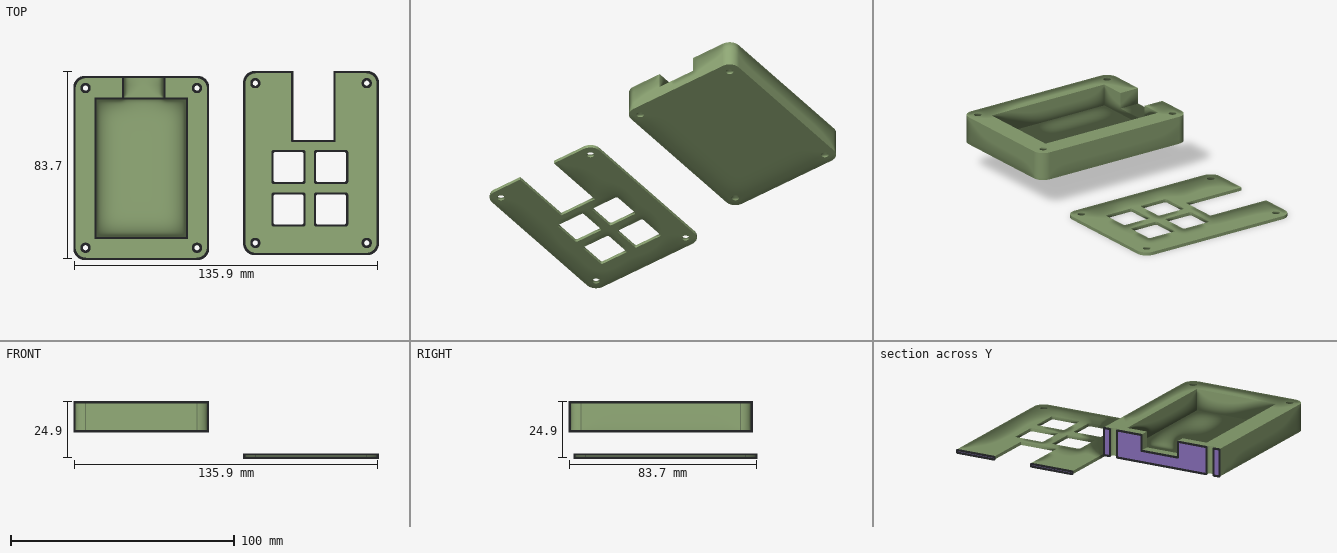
import cadquery as cq

overall_width = 135.9
overall_height = 24.9

body_width = 60.0
body_length = 81.5
corner_radius = 5.0
screw_hole_diameter = 3.4
screw_hole_inset = 5.0

housing_height = 13.0
pocket_width = 41.0
pocket_length = 62.3
pocket_depth = 10.0
pocket_back_wall = 9.8
notch_width = 18.5
notch_depth = 7.5
notch_offset_x = 1.1

plate_thickness = 1.5
plate_shift_x = overall_width - body_width
plate_shift_y = 2.2
plate_bottom_z = housing_height - overall_height
plate_slot_width = 18.8
plate_slot_length = 30.9
plate_slot_offset_x = 1.1
key_size = 14.3
key_pitch = 19.0
key_corner_radius = 0.8
key_group_x = -0.5
key_group_y = -11.3


def rounded_block(height):
    """Block with rounded vertical corners and a screw hole near each corner."""
    hole_spacing_x = body_width - 2 * screw_hole_inset
    hole_spacing_y = body_length - 2 * screw_hole_inset
    return (
        cq.Workplane("XY")
        .rect(body_width, body_length)
        .extrude(height)
        .edges("|Z")
        .fillet(corner_radius)
        .faces(">Z")
        .workplane()
        .rect(hole_spacing_x, hole_spacing_y, forConstruction=True)
        .vertices()
        .hole(screw_hole_diameter)
    )


def make_housing():
    """Open-topped tray whose +Y wall has a notch opening into the pocket."""
    back_y = body_length / 2
    pocket = (
        cq.Workplane("XY", origin=(0, back_y - pocket_back_wall - pocket_length / 2, housing_height))
        .rect(pocket_width, pocket_length)
        .extrude(-pocket_depth)
    )
    notch = (
        cq.Workplane("XY", origin=(notch_offset_x, back_y - pocket_back_wall / 2, housing_height))
        .rect(notch_width, pocket_back_wall)
        .extrude(-notch_depth)
    )
    return rounded_block(housing_height).cut(pocket).cut(notch)


def make_plate():
    """Thin cover with a slot open at the +Y edge and a 2 x 2 group of key openings."""
    slot = (
        cq.Workplane("XY", origin=(plate_slot_offset_x, (body_length - plate_slot_length) / 2, 0))
        .rect(plate_slot_width, plate_slot_length)
        .extrude(plate_thickness)
    )
    key_openings = (
        cq.Workplane("XY", origin=(key_group_x, key_group_y, 0))
        .rarray(key_pitch, key_pitch, 2, 2)
        .rect(key_size, key_size)
        .extrude(plate_thickness)
        .edges("|Z")
        .fillet(key_corner_radius)
    )
    plate = rounded_block(plate_thickness).cut(slot).cut(key_openings)
    return plate.translate((plate_shift_x, plate_shift_y, plate_bottom_z))


housing = make_housing()
plate = make_plate()

result = cq.Compound.makeCompound([housing.val(), plate.val()])